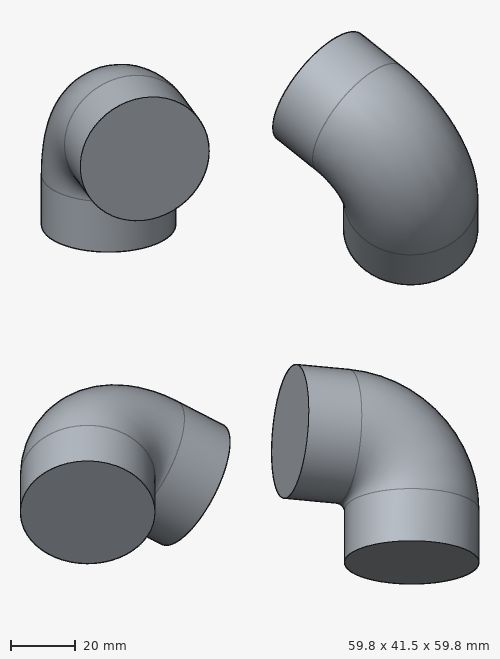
import cadquery as cq

outer_diameter = 41.5
bend_radius = 22.0
socket_length = 17.0
bend_angle = 90.0

outer_radius = outer_diameter / 2


def vertical_socket():
    """Straight lower end, rising from Z = 0 along the Z axis."""
    return cq.Workplane("XY").circle(outer_radius).extrude(socket_length)


def bend():
    """Quarter torus turning the centreline from +Z to +X."""
    return (
        cq.Workplane("XY")
        .workplane(offset=socket_length)
        .circle(outer_radius)
        .revolve(bend_angle, (bend_radius, 0), (bend_radius, 1))
    )


def horizontal_socket():
    """Straight upper end, leaving the bend along +X."""
    return (
        cq.Workplane("YZ")
        .workplane(offset=bend_radius)
        .center(0, socket_length + bend_radius)
        .circle(outer_radius)
        .extrude(socket_length)
    )


result = vertical_socket().union(bend()).union(horizontal_socket())